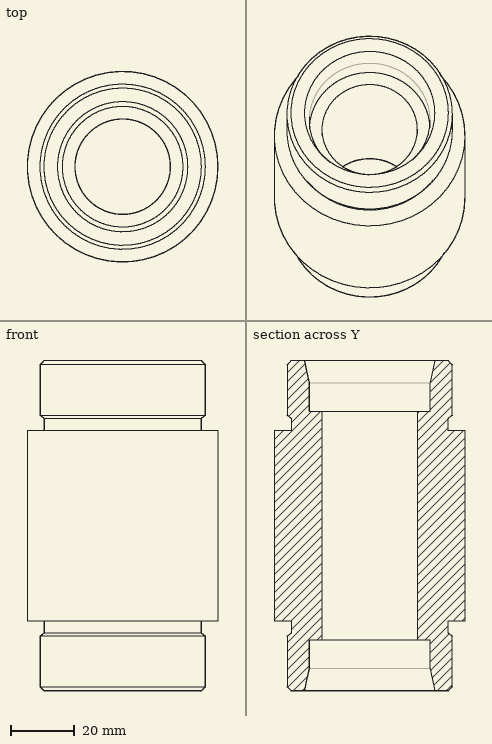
import cadquery as cq

length = 104.0
body_diameter = 60.0
body_length = 60.0

spigot_diameter = 52.0
groove_diameter = 49.5
end_chamfer = (spigot_diameter - groove_diameter) / 2
groove_width = 3.7
groove_taper_length = 0.9

bore_diameter = 30.0
counterbore_diameter = 38.0
counterbore_depth = 16.0
mouth_diameter = 41.0
mouth_depth = 7.1

half_length = length / 2
half_body = body_length / 2
groove_end = half_body + groove_width

upper_section = [
    (body_diameter / 2, half_body),
    (groove_diameter / 2, half_body),
    (groove_diameter / 2, groove_end),
    (spigot_diameter / 2, groove_end + groove_taper_length),
    (spigot_diameter / 2, half_length - end_chamfer),
    (spigot_diameter / 2 - end_chamfer, half_length),
    (mouth_diameter / 2, half_length),
    (counterbore_diameter / 2, half_length - mouth_depth),
    (counterbore_diameter / 2, half_length - counterbore_depth),
    (bore_diameter / 2, half_length - counterbore_depth),
]

lower_section = [(radius, -height) for radius, height in reversed(upper_section)]

result = (
    cq.Workplane("XZ")
    .polyline(upper_section + lower_section)
    .close()
    .revolve(360, (0, 0, 0), (0, 1, 0))
)